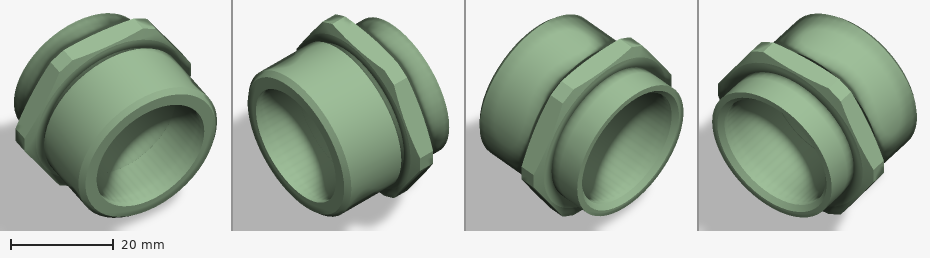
import cadquery as cq
import math

total_length = 26.5
spigot_length = 7.0
hex_width = 4.5
neck_length = 1.5
end_chamfer = 1.0

spigot_diameter = 29.58
neck_diameter = 30.0
body_diameter = 32.0

hex_across_flats = 35.0
hex_across_corners = 38.4
hex_face_diameter = 34.0
hex_bevel_angle = 15.0

bore_diameter = 25.0
bore_mouth_diameter = 27.0
far_bore_diameter = 24.85
bore_step_start = 15.98

hex_start = spigot_length
hex_end = hex_start + hex_width
body_start = hex_end + neck_length
body_length = total_length - body_start


def cylinder(start, length, diameter):
    """Solid cylinder on the X axis."""
    return cq.Workplane("YZ", origin=(start, 0, 0)).circle(diameter / 2).extrude(length)


def bevelled_disc():
    """Disc reaching the uncut hexagon corners, coned on both faces outside the face circle."""
    face_radius = hex_face_diameter / 2
    rim_radius = hex_across_flats / math.sqrt(3)
    bevel_depth = (rim_radius - face_radius) * math.tan(math.radians(hex_bevel_angle))
    return (
        cq.Workplane("XY")
        .moveTo(hex_start, 0)
        .lineTo(hex_start, face_radius)
        .lineTo(hex_start + bevel_depth, rim_radius)
        .lineTo(hex_end - bevel_depth, rim_radius)
        .lineTo(hex_end, face_radius)
        .lineTo(hex_end, 0)
        .close()
        .revolve(360, (0, 0, 0), (1, 0, 0))
    )


def hexagon_prism(across_flats, rotation):
    """Hexagon prism over the nut width, turned about the X axis; unturned, its corners point along Y."""
    return (
        cq.Workplane("YZ", origin=(hex_start, 0, 0))
        .polygon(6, across_flats / math.cos(math.pi / 6))
        .extrude(hex_width)
        .rotate((0, 0, 0), (1, 0, 0), rotation)
    )


def nut():
    """Hexagon with flat-cut corners and bevelled faces."""
    flats = hexagon_prism(hex_across_flats, rotation=0)
    corner_cuts = hexagon_prism(hex_across_corners, rotation=30)
    return flats.intersect(corner_cuts).intersect(bevelled_disc())


def bore():
    """Through bore with 45 degree cones at the spigot mouth and at the inner step."""
    mouth_radius = bore_mouth_diameter / 2
    bore_radius = bore_diameter / 2
    far_radius = far_bore_diameter / 2
    lead_in_end = mouth_radius - bore_radius
    bore_step_end = bore_step_start + bore_radius - far_radius
    return (
        cq.Workplane("XY")
        .lineTo(0, mouth_radius)
        .lineTo(lead_in_end, bore_radius)
        .lineTo(bore_step_start, bore_radius)
        .lineTo(bore_step_end, far_radius)
        .lineTo(total_length, far_radius)
        .lineTo(total_length, 0)
        .close()
        .revolve(360, (0, 0, 0), (1, 0, 0))
    )


spigot = cylinder(0, spigot_length, spigot_diameter)
neck = cylinder(hex_end, neck_length, neck_diameter)
body = cylinder(body_start, body_length, body_diameter).faces(">X").chamfer(end_chamfer)

result = spigot.union(nut()).union(neck).union(body).cut(bore())